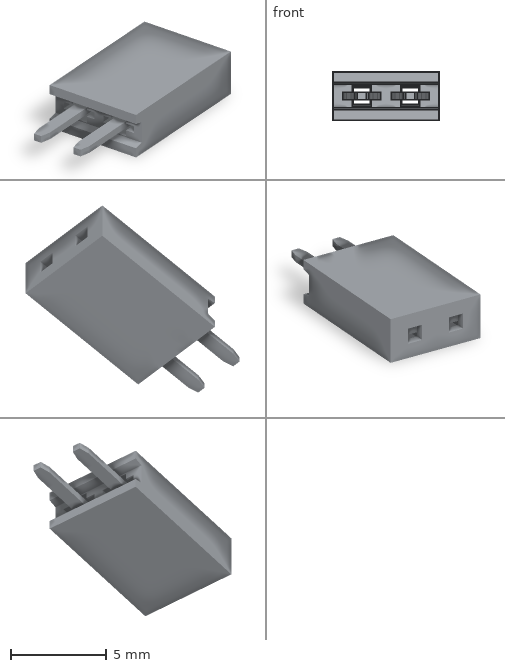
import cadquery as cq


housing_width = 5.58
housing_length = 8.51
housing_height = 2.54

channel_depth = 0.51
channel_mouth_height = 1.45
channel_floor_height = 1.23

contact_count = 2
contact_pitch = 2.54
cavity_width = 1.02
cavity_height = 1.1
end_wall = 0.5
entry_side = 0.88

contact_thickness = 0.4
plate_width = 2.0
shoulder_recess = 1.0
shoulder_radius = 0.2
pin_width = 0.74
pin_tip_width = 0.46
pin_taper_length = 0.6
overall_length = 11.7

pin_tip_y = housing_length - overall_length
taper_start_y = pin_tip_y + pin_taper_length
shoulder_y = channel_depth + shoulder_recess
cavity_end_y = housing_length - end_wall
cavity_length = cavity_end_y - channel_depth

contact_positions = [
    (index - (contact_count - 1) / 2) * contact_pitch for index in range(contact_count)
]


def block(width, length, height, x, start_y):
    """Box centred on x and on Z = 0 that runs towards +Y from start_y."""
    return (
        cq.Workplane("XY")
        .box(width, length, height, centered=(True, False, True))
        .translate((x, start_y, 0))
    )


def make_channel():
    """Channel along X that widens from its floor to its mouth."""
    return (
        cq.Workplane("YZ")
        .moveTo(0, channel_mouth_height / 2)
        .lineTo(channel_depth, channel_floor_height / 2)
        .lineTo(channel_depth, -channel_floor_height / 2)
        .lineTo(0, -channel_mouth_height / 2)
        .close()
        .extrude(housing_width / 2, both=True)
    )


def make_housing():
    """Block with the channel and, for each contact, a cavity, a plate slot and an entry hole."""
    housing = block(housing_width, housing_length, housing_height, 0, 0).cut(make_channel())
    for x in contact_positions:
        cavity = block(cavity_width, cavity_length, cavity_height, x, channel_depth)
        plate_slot = block(plate_width, cavity_length, contact_thickness, x, channel_depth)
        entry_hole = block(entry_side, end_wall, entry_side, x, cavity_end_y)
        housing = housing.cut(cavity).cut(plate_slot).cut(entry_hole)
    return housing


def make_contact(x):
    """Flat contact: a wide plate that fills the slot, and a narrow pin with a tapered tip."""
    plate = block(plate_width, cavity_end_y - shoulder_y, contact_thickness, 0, shoulder_y)
    pin = (
        cq.Workplane("XY")
        .moveTo(-pin_tip_width / 2, pin_tip_y)
        .lineTo(pin_tip_width / 2, pin_tip_y)
        .lineTo(pin_width / 2, taper_start_y)
        .lineTo(pin_width / 2, shoulder_y)
        .lineTo(-pin_width / 2, shoulder_y)
        .lineTo(-pin_width / 2, taper_start_y)
        .close()
        .extrude(contact_thickness / 2, both=True)
    )
    shoulder_zone = cq.selectors.BoxSelector(
        (-plate_width, shoulder_y - shoulder_radius, -contact_thickness),
        (plate_width, shoulder_y + shoulder_radius, contact_thickness),
    )
    contact = plate.union(pin).edges("|Z").edges(shoulder_zone).fillet(shoulder_radius)
    return contact.translate((x, 0, 0))


housing = make_housing()
contacts = [make_contact(x) for x in contact_positions]

result = cq.Compound.makeCompound([housing.val(), *[contact.val() for contact in contacts]])